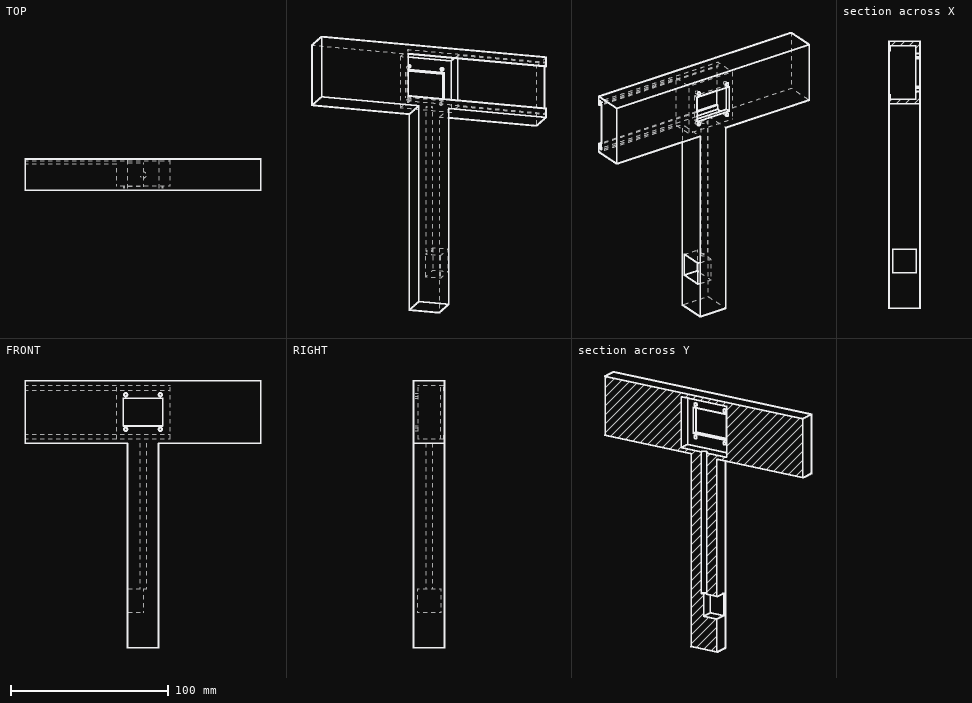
import cadquery as cq

head_length = 150.0
thickness = 20.0
head_height = 40.0
total_height = 170.0
stem_width = 20.0
head_bottom = total_height - head_height
head_middle = total_height - head_height / 2

front_wall = 3.0
pocket_width = 34.0
pocket_height = 34.0

groove_height = 34.0
groove_front = 17.0
lip_thickness = 1.0
lip_overhang = 3.0
groove_depth = thickness - groove_front - lip_thickness
opening_height = groove_height - 2 * lip_overhang
channel_length = (head_length + pocket_width) / 2

window_width = 25.0
window_height = 17.5
screw_hole_diameter = 2.0
screw_spacing = 22.0

recess_size = 15.0
recess_depth = 10.0
recess_middle = 30.0

cable_hole_diameter = 3.9


def block(x_min, x_size, y_min, y_size, z_middle, z_size):
    """Box placed by its low X and Y sides and its middle height."""
    corner = (x_min, y_min, z_middle - z_size / 2)
    return cq.Workplane("XY").box(x_size, y_size, z_size, centered=False).translate(corner)


def body():
    head = block(-head_length / 2, head_length, 0, thickness, head_middle, head_height)
    stem = block(-stem_width / 2, stem_width, 0, thickness, head_bottom / 2, head_bottom)
    return head.union(stem)


def cover_channel():
    """Groove for the cover, plus the narrower opening between its two lips."""
    start = -head_length / 2
    groove = block(start, channel_length, groove_front, groove_depth, head_middle, groove_height)
    opening_depth = thickness - groove_front
    opening = block(start, channel_length, groove_front, opening_depth, head_middle, opening_height)
    return groove.union(opening)


def pocket():
    depth = groove_front - front_wall
    return block(-pocket_width / 2, pocket_width, front_wall, depth, head_middle, pocket_height)


def window():
    return block(-window_width / 2, window_width, 0, front_wall, head_middle, window_height)


def screw_holes():
    return (
        cq.Workplane("XZ")
        .center(0, head_middle)
        .rect(screw_spacing, screw_spacing, forConstruction=True)
        .vertices()
        .circle(screw_hole_diameter / 2)
        .extrude(-front_wall)
    )


def stem_recess():
    y_min = (thickness - recess_size) / 2
    return block(-stem_width / 2, recess_depth, y_min, recess_size, recess_middle, recess_size)


def cable_hole():
    recess_top = recess_middle + recess_size / 2
    pocket_floor = head_middle - pocket_height / 2
    return (
        cq.Workplane("XY", origin=(0, thickness / 2, recess_top))
        .circle(cable_hole_diameter / 2)
        .extrude(pocket_floor - recess_top)
    )


result = body()
cutters = (cover_channel(), pocket(), window(), screw_holes(), stem_recess(), cable_hole())
for cutter in cutters:
    result = result.cut(cutter)